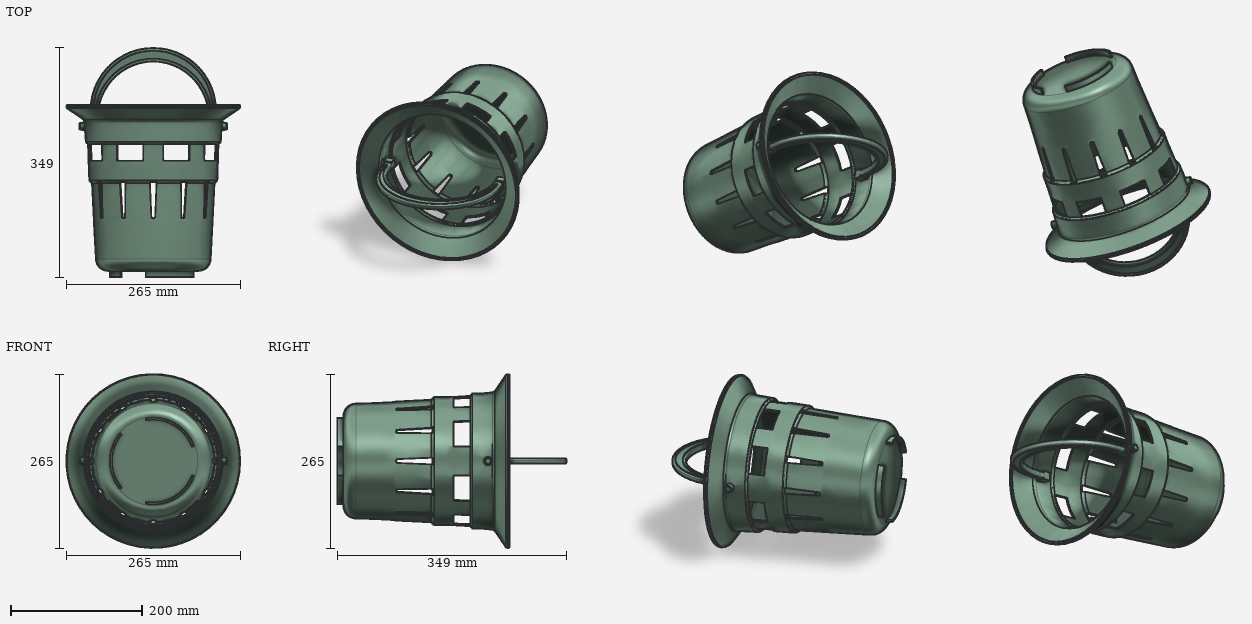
import cadquery as cq
import math


total_length = 349.0
wall = 2.62

rim_top = 262.5
rim_radius = 265.0 / 2
rim_mouth_radius = 256.5 / 2
rim_bottom = 257.0
rim_side_chamfer = 1.0
rim_height_chamfer = 2.5
flare_root_radius = 106.0
flare_root_level = 239.8

collar_top_radius = 104.7
collar_top_level = 236.3
collar_bottom_radius = 103.0
collar_bottom_level = 206.0

hoop_top_radius = 99.5
hoop_top_level = 202.5
hoop_bottom_radius = 97.7
hoop_bottom_level = 147.5

cup_top_radius = 93.5
cup_top_level = 143.0
cup_bottom_radius = 87.5
cup_bottom_level = 28.3
floor_radius = 67.5
floor_level = 9.5

window_span = 25.0
window_angles = (25.5, 68.5)
window_bottom = 177.3
window_corner = 1.5

slot_count = 12
slot_top_width = 10.0
slot_bottom_width = 5.5
slot_bottom = 89.7

foot_count = 3
foot_span = 80.0
foot_first_angle = 60.0
foot_outer_radius = 66.0
foot_thickness = 3.0

pin_radius = 10.5 / 2
pin_level = 229.5
pin_reach = 112.5
pin_root_radius = 6.5
pin_tip_chamfer = 1.0

handle_thickness = 8.7
handle_outer_radius = 95.5
handle_inner_radius = 84.0
handle_top_width = 21.0
handle_outer_fillet = 2.5
handle_inner_fillet = 0.7
handle_flange = 4.5
handle_web_recess = 1.5
leg_bottom = 223.5
pivot_block_width = 12.5
pivot_block_height = 2 * (pin_level - leg_bottom)
pivot_block_outer = 97.7


def ring_sector(inner_radius, outer_radius, bottom, top, span, middle_angle):
    """Ring piece around the Y axis, centred on an angle measured from +X."""
    sector = (
        cq.Workplane("XY")
        .moveTo(inner_radius, bottom)
        .lineTo(outer_radius, bottom)
        .lineTo(outer_radius, top)
        .lineTo(inner_radius, top)
        .close()
        .revolve(span, (0, 0, 0), (0, 1, 0))
    )
    return sector.rotate((0, 0, 0), (0, 1, 0), middle_angle - span / 2)


def corner_arc_middle(start, end):
    """Point halfway along the elliptical quarter round from the wall to the floor."""
    share = math.sin(math.radians(45))
    return (
        end[0] + (start[0] - end[0]) * share,
        start[1] + (end[1] - start[1]) * share,
    )


def make_shell():
    """Thin revolved wall, open at the rim and closed by the floor."""
    outer_wall = [
        (collar_top_radius, collar_top_level),
        (collar_bottom_radius, collar_bottom_level),
        (hoop_top_radius, hoop_top_level),
        (hoop_bottom_radius, hoop_bottom_level),
        (cup_top_radius, cup_top_level),
        (cup_bottom_radius, cup_bottom_level),
    ]
    inner_wall = [(radius - wall, level) for radius, level in reversed(outer_wall)]
    outer_floor_edge = (floor_radius, floor_level)
    inner_floor_edge = (floor_radius, floor_level + wall)
    rim_shoulder_radius = rim_radius - rim_side_chamfer

    profile = (
        cq.Workplane("XY")
        .moveTo(0, floor_level + wall)
        .lineTo(*inner_floor_edge)
        .threePointArc(corner_arc_middle(inner_wall[0], inner_floor_edge), inner_wall[0])
        .polyline(inner_wall[1:], includeCurrent=True)
        .lineTo(flare_root_radius - wall, flare_root_level + wall / 2)
        .lineTo(rim_mouth_radius, rim_top - wall)
        .lineTo(rim_mouth_radius, rim_top)
        .lineTo(rim_shoulder_radius, rim_top)
        .lineTo(rim_radius, rim_top - rim_height_chamfer)
        .lineTo(rim_radius, rim_bottom + rim_height_chamfer)
        .lineTo(rim_shoulder_radius, rim_bottom)
        .lineTo(flare_root_radius, flare_root_level)
        .polyline(outer_wall, includeCurrent=True)
        .threePointArc(corner_arc_middle(outer_wall[-1], outer_floor_edge), outer_floor_edge)
        .lineTo(0, floor_level)
        .close()
    )
    return profile.revolve(360, (0, 0, 0), (0, 1, 0))


def make_window(middle_angle):
    """Window cutter with its two lower corners rounded."""
    inner_radius = hoop_bottom_radius - 2 * wall
    outer_radius = hoop_top_radius + wall
    window = ring_sector(inner_radius, outer_radius, window_bottom, hoop_top_level, window_span, 0)
    lower_corners = cq.selectors.BoxSelector(
        (0, window_bottom - wall, -rim_radius), (rim_radius, window_bottom + wall, rim_radius)
    )
    window = window.edges(lower_corners).edges("not %CIRCLE").fillet(window_corner)
    return window.rotate((0, 0, 0), (0, 1, 0), middle_angle)


def make_slot(angle):
    """Radial slot cutter, narrowing towards a round lower end."""
    end_radius = slot_bottom_width / 2
    slot = (
        cq.Workplane("XY")
        .moveTo(-slot_top_width / 2, hoop_bottom_level)
        .lineTo(-end_radius, slot_bottom + end_radius)
        .threePointArc((0, slot_bottom), (end_radius, slot_bottom + end_radius))
        .lineTo(slot_top_width / 2, hoop_bottom_level)
        .close()
        .extrude(hoop_bottom_radius - wall)
    )
    return slot.rotate((0, 0, 0), (0, 1, 0), angle)


def make_foot(middle_angle):
    """Curved foot below the floor, sunk half a wall into it."""
    inner_radius = foot_outer_radius - foot_thickness
    foot_top = floor_level + wall / 2
    return ring_sector(inner_radius, foot_outer_radius, 0, foot_top, foot_span, middle_angle)


def make_handle():
    """Crescent bail with straight legs and a recessed web on both faces."""
    outer_center = total_length - handle_outer_radius
    inner_center = total_length - handle_top_width - handle_inner_radius

    bail = (
        cq.Workplane("XY", origin=(0, 0, -handle_thickness / 2))
        .moveTo(-handle_outer_radius, leg_bottom)
        .lineTo(-handle_outer_radius, outer_center)
        .threePointArc((0, total_length), (handle_outer_radius, outer_center))
        .lineTo(handle_outer_radius, leg_bottom)
        .lineTo(handle_inner_radius, leg_bottom)
        .lineTo(handle_inner_radius, inner_center)
        .threePointArc((0, inner_center + handle_inner_radius), (-handle_inner_radius, inner_center))
        .lineTo(-handle_inner_radius, leg_bottom)
        .close()
        .extrude(handle_thickness)
    )
    outer_arcs = cq.selectors.RadiusNthSelector(-1)
    inner_arcs = cq.selectors.RadiusNthSelector(0)
    bail = bail.edges("%CIRCLE").edges(outer_arcs).fillet(handle_outer_fillet)
    bail = bail.faces("<Z or >Z").edges("%CIRCLE").edges(inner_arcs).fillet(handle_inner_fillet)

    web_outer_radius = handle_outer_radius - handle_flange
    web_inner_radius = handle_inner_radius + handle_flange
    web_outer_end = math.sqrt(web_outer_radius**2 - (outer_center - inner_center) ** 2)
    web_top = outer_center + web_outer_radius
    for side in (-1, 1):
        recess = (
            cq.Workplane("XY", origin=(0, 0, side * (handle_thickness / 2 - handle_web_recess)))
            .moveTo(-web_outer_end, inner_center)
            .threePointArc((0, web_top), (web_outer_end, inner_center))
            .lineTo(web_inner_radius, inner_center)
            .threePointArc((0, inner_center + web_inner_radius), (-web_inner_radius, inner_center))
            .close()
            .extrude(side * handle_thickness)
        )
        bail = bail.cut(recess)
    return bail


def make_pivot_block(side):
    """Thicker square end of a handle leg, around the pin axis."""
    middle = (handle_inner_radius + pivot_block_outer) / 2
    depth = pivot_block_outer - handle_inner_radius
    block = cq.Workplane("XY").box(depth, pivot_block_height, pivot_block_width)
    return block.translate((side * middle, pin_level, 0))


def make_pin(side):
    """Pivot pin from a handle leg through the collar, flared where it leaves the wall."""
    leg_middle = (handle_outer_radius + handle_inner_radius) / 2
    flare_start = collar_top_radius - wall
    pin = (
        cq.Workplane("XY")
        .moveTo(leg_middle, pin_level)
        .lineTo(leg_middle, pin_level + pin_radius)
        .lineTo(flare_start, pin_level + pin_radius)
        .lineTo(flare_start, pin_level + pin_root_radius)
        .lineTo(pin_reach - pin_tip_chamfer, pin_level + pin_radius)
        .lineTo(pin_reach, pin_level + pin_radius - pin_tip_chamfer)
        .lineTo(pin_reach, pin_level)
        .close()
        .revolve(360, (0, pin_level, 0), (1, pin_level, 0))
    )
    return pin if side > 0 else pin.mirror("YZ")


result = make_shell()

for window_angle in window_angles:
    for middle_angle in (window_angle, -window_angle, 180 - window_angle, 180 + window_angle):
        result = result.cut(make_window(middle_angle))

for index in range(slot_count):
    result = result.cut(make_slot(index * 360 / slot_count))

for index in range(foot_count):
    foot_angle = foot_first_angle + index * 360 / foot_count
    result = result.union(make_foot(foot_angle))

result = result.union(make_handle())
for side in (-1, 1):
    result = result.union(make_pivot_block(side))
    result = result.union(make_pin(side))